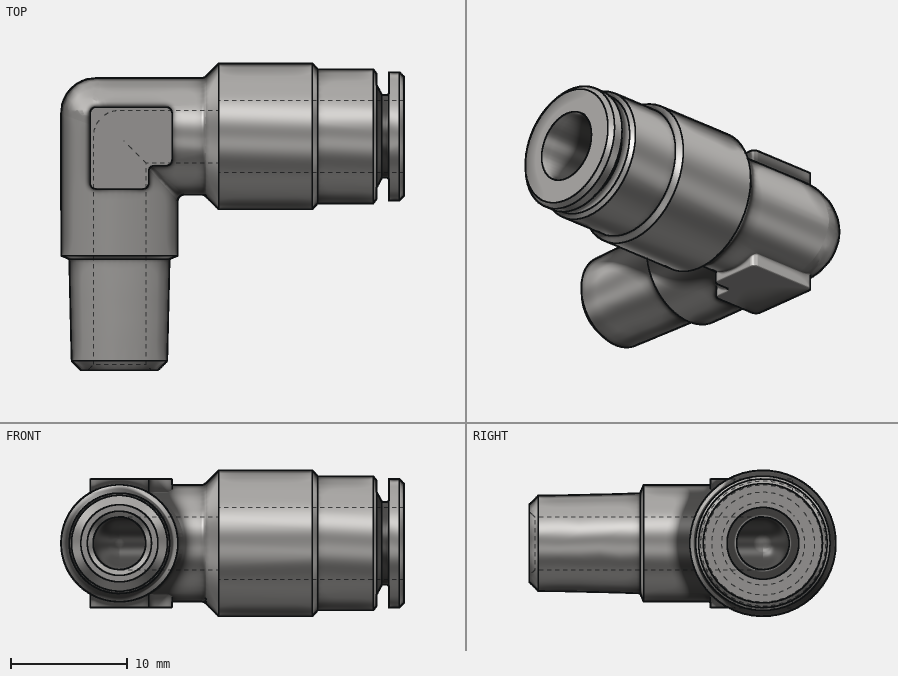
import cadquery as cq
import math


overall_length = 29.34

body_radius = 5.0
outer_bend_fillet = 3.0
inner_bend_fillet = 0.5
bore_radius = 4.5 / 2

socket_radius = 12.5 / 2
sleeve_radius = 11.5 / 2
socket_cone_end = 8.5
socket_cone_start = socket_cone_end - (socket_radius - body_radius)
socket_root_fillet = 0.6
socket_root_tangent = socket_root_fillet * math.tan(math.pi / 8)
socket_root_start = socket_cone_start - socket_root_tangent
socket_root_rise = socket_root_tangent * math.sin(math.pi / 4)
socket_root_end = socket_cone_start + socket_root_rise
socket_root_end_radius = body_radius + socket_root_rise
socket_step = 16.5
sleeve_start = 16.95
sleeve_end = 22.0
sleeve_chamfer_length = 0.3
sleeve_chamfer_height = 0.4

collet_root_radius = 4.4
neck_radius = 7.1 / 2
neck_start = 22.45
flange_radius = 11.0 / 2
flange_start = 23.05
flange_end = overall_length - body_radius
flange_chamfer = 0.4
neck_fillet = 0.2
tube_bore_radius = 6.15 / 2
tube_stop = socket_cone_end

spigot_length = 20.0
shoulder_start = 10.2
shoulder_end = 10.5
spigot_root_radius = 8.6 / 2
spigot_tip_radius = 8.2 / 2
spigot_chamfer = 0.8
bore_mouth_chamfer = 0.5
bore_mouth_angle = 45.0

pad_height = 11.0 / 2
pad_back = -2.5
pad_front = 4.5
pad_arm = 2.5
pad_corner_radius = 0.5
pad_edge_fillet = 0.1
pad_root_fillet = 0.1
pad_base = 3.0
rounded_half_height = 4.5


def socket():
    """Revolved socket, sleeve and collet, starting just before the socket cone."""
    half_section = (
        cq.Workplane("XY")
        .moveTo(socket_root_start, 0)
        .lineTo(socket_root_start, body_radius)
        .radiusArc((socket_root_end, socket_root_end_radius), -socket_root_fillet)
        .lineTo(socket_cone_end, socket_radius)
        .lineTo(socket_step, socket_radius)
        .lineTo(sleeve_start, sleeve_radius)
        .lineTo(sleeve_end - sleeve_chamfer_length, sleeve_radius)
        .lineTo(sleeve_end, sleeve_radius - sleeve_chamfer_height)
        .lineTo(sleeve_end, collet_root_radius)
        .lineTo(neck_start, neck_radius)
        .lineTo(flange_start - neck_fillet, neck_radius)
        .radiusArc((flange_start, neck_radius + neck_fillet), -neck_fillet)
        .lineTo(flange_start, flange_radius)
        .lineTo(flange_end - flange_chamfer, flange_radius)
        .lineTo(flange_end, flange_radius - flange_chamfer)
        .lineTo(flange_end, 0)
        .close()
    )
    return half_section.revolve(360, (0, 0, 0), (1, 0, 0))


def spigot():
    """Revolved shoulder and tapered spigot below the elbow."""
    half_section = (
        cq.Workplane("XY")
        .moveTo(0, -shoulder_start)
        .lineTo(body_radius, -shoulder_start)
        .lineTo(spigot_root_radius, -shoulder_end)
        .lineTo(spigot_tip_radius, -spigot_length + spigot_chamfer)
        .lineTo(spigot_tip_radius - spigot_chamfer, -spigot_length)
        .lineTo(0, -spigot_length)
        .close()
    )
    return half_section.revolve(360, (0, 0, 0), (0, 1, 0))


def mitred_cylinders():
    """Two equal cylinders that meet on the 45 degree plane through the Z axis."""
    along_x = cq.Workplane("YZ", origin=(-body_radius, 0, 0)).circle(body_radius)
    along_x = along_x.extrude(body_radius + socket_root_start)
    along_y = cq.Workplane("XZ", origin=(0, body_radius, 0)).circle(body_radius)
    along_y = along_y.extrude(body_radius + shoulder_start)
    reach = 2 * spigot_length
    x_side = (
        cq.Workplane("XY")
        .polyline([(-reach, reach), (reach, reach), (reach, -reach)])
        .close()
        .extrude(body_radius, both=True)
    )
    return along_x.intersect(x_side).union(along_y.cut(x_side))


def elbow():
    """Mitred pipe bend, rounded outside and inside.

    The mitre flattens out towards the top and bottom of the pipes, so only the
    part between the two caps is rounded. The flat ends of the mitre lie inside the pads.
    """
    sharp = mitred_cylinders()
    size = 4 * spigot_length
    middle_slab = cq.Workplane("XY").box(size, size, 2 * rounded_half_height)
    middle = sharp.intersect(middle_slab)
    caps = sharp.cut(middle_slab)
    middle = middle.edges("%ELLIPSE").edges("<X").fillet(outer_bend_fillet)
    middle = middle.edges("%ELLIPSE").fillet(inner_bend_fillet)
    return middle.union(caps)


def pad():
    """Wrench pad on the +Z side, reaching down into the elbow."""
    outline = [
        (pad_back, -pad_back),
        (pad_front, -pad_back),
        (pad_front, -pad_arm),
        (pad_arm, -pad_arm),
        (pad_arm, -pad_front),
        (pad_back, -pad_front),
    ]
    block = cq.Workplane("XY", origin=(0, 0, pad_base)).polyline(outline).close()
    block = block.extrude(pad_height - pad_base)
    block = block.edges("|Z").fillet(pad_corner_radius)
    return block.faces(">Z").edges().fillet(pad_edge_fillet)


def pad_root_box(side):
    """Selector of the edges where a pad meets the elbow; side is +1 for the top, -1 for the bottom."""
    margin = pad_root_fillet
    near = pad_back - margin
    far = pad_front + margin
    low = side * pad_base
    high = side * (body_radius + margin)
    return cq.selectors.BoxSelector((near, -near, low), (far, -far, high), boundingbox=True)


def padded_elbow():
    """Elbow with a pad on each side and a small fillet around the pad roots."""
    upper_pad = pad()
    body = elbow().union(upper_pad).union(upper_pad.mirror("XY"))
    for side in (1, -1):
        body = body.edges(pad_root_box(side)).fillet(pad_root_fillet)
    return body


def bore():
    """Flow passage with a ball-shaped corner, opening into the tube socket."""
    along_x = cq.Workplane("YZ").circle(bore_radius).extrude(flange_end)
    along_y = cq.Workplane("XZ").circle(bore_radius).extrude(spigot_length)
    corner = cq.Workplane("XY").sphere(bore_radius)
    tube_socket = cq.Workplane("YZ", origin=(tube_stop, 0, 0)).circle(tube_bore_radius)
    tube_socket = tube_socket.extrude(flange_end - tube_stop)
    mouth_radius = bore_radius + bore_mouth_chamfer
    mouth = cq.Workplane("XZ", origin=(0, -spigot_length, 0)).circle(mouth_radius)
    mouth = mouth.extrude(-bore_mouth_chamfer, taper=bore_mouth_angle)
    return along_x.union(along_y).union(corner).union(tube_socket).union(mouth)


result = padded_elbow().union(socket()).union(spigot()).cut(bore())